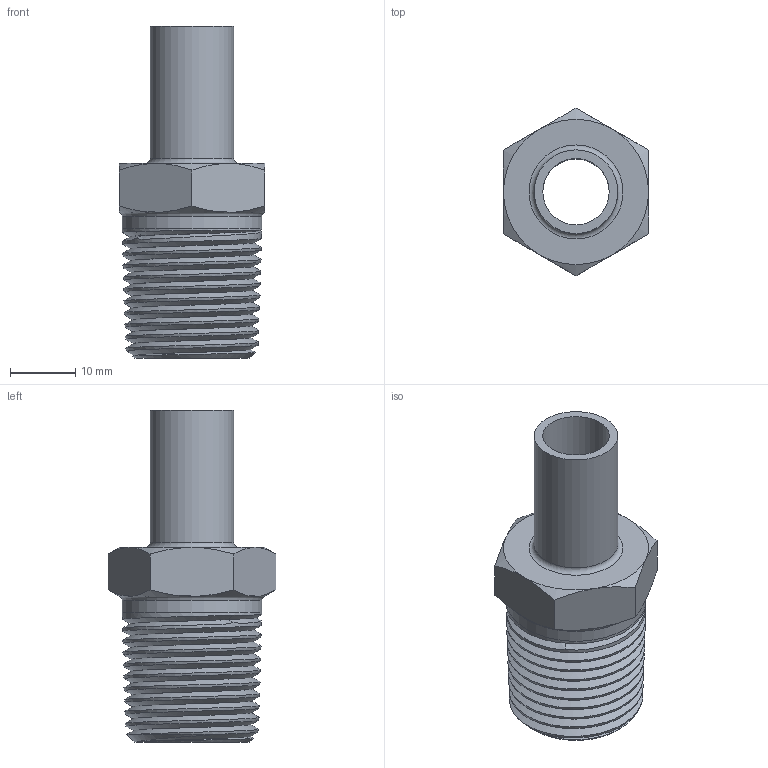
import math

import cadquery as cq

total_length = 50.8
bore_diameter = 10.16

tube_radius = 12.8 / 2
tube_fillet = 0.79

hex_sides = 6
hex_across_flats = 22.225
hex_bottom_z = 22.28
hex_top_z = 29.77
hex_chamfer_angle = 30.0

collar_radius = 21.336 / 2
collar_fillet = 0.6

thread_length = 19.86
thread_pitch = 25.4 / 14
thread_taper = 1 / 32
thread_chamfer_radius = 8.87
groove_depth = 1.11
groove_half_angle = 30.0
groove_root_flat = 0.05
groove_overshoot = 0.1
groove_root_z = 1.3
groove_lead_in_turns = 2
groove_full_end_turns = 9.6
groove_runout_turns = 0.5

hex_flat_radius = hex_across_flats / 2
hex_half_side_angle = 180 / hex_sides
hex_corner_radius = hex_flat_radius / math.cos(math.radians(hex_half_side_angle))
hex_chamfer_slope = math.tan(math.radians(hex_chamfer_angle))


def crest_radius(z):
    """Radius of the thread's taper cone at height z."""
    return collar_radius - (thread_length - z) * thread_taper


def make_tube():
    """Plain round stub with a concave fillet onto the hexagon's top face."""
    return (
        cq.Workplane("XZ")
        .moveTo(0, hex_top_z)
        .lineTo(tube_radius + tube_fillet, hex_top_z)
        .radiusArc((tube_radius, hex_top_z + tube_fillet), tube_fillet)
        .lineTo(tube_radius, total_length)
        .lineTo(0, total_length)
        .close()
        .revolve(360, (0, 0, 0), (0, 1, 0))
    )


def make_hexagon():
    """Hexagonal prism trimmed by a cone at each end.

    The lower cone carries on below the flats and blends into the collar.
    """
    lower_cone_drop = (hex_flat_radius - collar_radius) * hex_chamfer_slope
    cone_meets_collar_z = hex_bottom_z - lower_cone_drop
    corner_rise = (hex_corner_radius - hex_flat_radius) * hex_chamfer_slope

    blend_turn = math.radians(90 - hex_chamfer_angle)
    blend_length = collar_fillet * math.tan(blend_turn / 2)
    blend_bottom_z = cone_meets_collar_z - blend_length
    blend_top_radius = collar_radius + blend_length * math.cos(math.radians(hex_chamfer_angle))
    blend_top_z = cone_meets_collar_z + blend_length * math.sin(math.radians(hex_chamfer_angle))

    envelope = (
        cq.Workplane("XZ")
        .moveTo(0, blend_bottom_z)
        .lineTo(collar_radius, blend_bottom_z)
        .radiusArc((blend_top_radius, blend_top_z), collar_fillet)
        .lineTo(hex_corner_radius, hex_bottom_z + corner_rise)
        .lineTo(hex_corner_radius, hex_top_z - corner_rise)
        .lineTo(hex_flat_radius, hex_top_z)
        .lineTo(0, hex_top_z)
        .close()
        .revolve(360, (0, 0, 0), (0, 1, 0))
    )
    prism = (
        cq.Workplane("XY", origin=(0, 0, blend_bottom_z))
        .polygon(hex_sides, 2 * hex_corner_radius)
        .extrude(hex_top_z - blend_bottom_z)
        .rotate((0, 0, 0), (0, 0, 1), hex_half_side_angle)
    )
    return prism.intersect(envelope)


def make_thread_blank():
    """Collar and taper cone with a 45 degree chamfer at the open end."""
    chamfer_height = (crest_radius(0) - thread_chamfer_radius) / (1 - thread_taper)
    return (
        cq.Workplane("XZ")
        .moveTo(0, 0)
        .lineTo(thread_chamfer_radius, 0)
        .lineTo(crest_radius(chamfer_height), chamfer_height)
        .lineTo(collar_radius, thread_length)
        .lineTo(collar_radius, hex_bottom_z)
        .lineTo(0, hex_bottom_z)
        .close()
        .revolve(360, (0, 0, 0), (0, 1, 0))
    )


def make_groove(start_turn, turns, radius_gain_per_turn):
    """Flat-bottomed V cutter along a conical helix; turns are counted from groove_root_z at +X."""
    start_z = groove_root_z + start_turn * thread_pitch
    root_radius = crest_radius(start_z) - groove_depth
    outer_radius = crest_radius(start_z) + groove_overshoot
    root_half_width = groove_root_flat / 2
    flank_run = (groove_depth + groove_overshoot) * math.tan(math.radians(groove_half_angle))
    mouth_half_width = root_half_width + flank_run

    cone_angle = math.atan(radius_gain_per_turn / thread_pitch)
    slope_pitch = thread_pitch / math.cos(cone_angle)
    path = cq.Wire.makeHelix(
        slope_pitch,
        turns * slope_pitch,
        root_radius,
        angle=math.degrees(cone_angle),
    )
    cutter = (
        cq.Workplane("XZ")
        .moveTo(root_radius, root_half_width)
        .lineTo(outer_radius, mouth_half_width)
        .lineTo(outer_radius, -mouth_half_width)
        .lineTo(root_radius, -root_half_width)
        .close()
        .sweep(cq.Workplane(path), isFrenet=True)
    )
    return cutter.rotate((0, 0, 0), (0, 0, 1), start_turn * 360).translate((0, 0, start_z))


def make_thread():
    """Thread blank cut by the full-depth groove and by its fading end."""
    taper_gain = thread_pitch * thread_taper
    full_turns = groove_lead_in_turns + groove_full_end_turns
    full_groove = make_groove(-groove_lead_in_turns, full_turns, taper_gain)

    runout_gain = taper_gain + groove_depth / groove_runout_turns
    runout_groove = make_groove(groove_full_end_turns, groove_runout_turns, runout_gain)
    return make_thread_blank().cut(full_groove).cut(runout_groove)


bore = cq.Workplane("XY").circle(bore_diameter / 2).extrude(total_length)

result = make_thread().union(make_hexagon()).union(make_tube()).cut(bore)